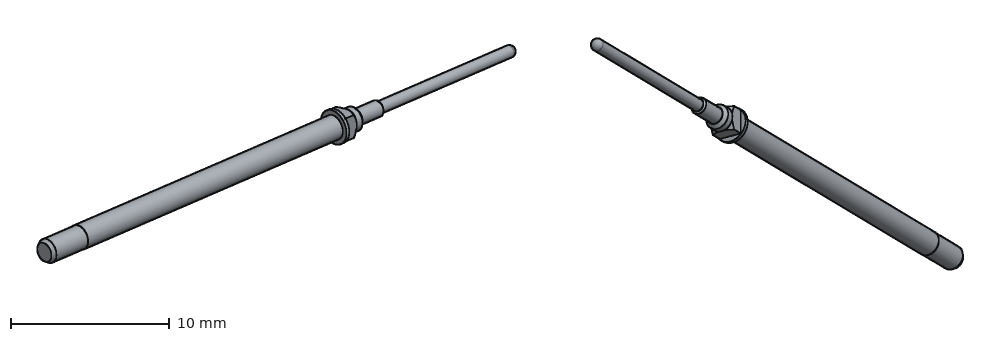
import cadquery as cq
import math

length = 41.4
tail_y = -length / 2
tip_y = length / 2

tail_diameter = 1.6
barrel_diameter = 1.65
flange_diameter = 2.3
square_side = 1.6
collar_diameter = barrel_diameter
neck_diameter = 1.1
plunger_diameter = 0.83

tail_length = 3.05
barrel_length = 22.45
flange_thickness = 0.25
square_length = 1.0
collar_length = 0.75
neck_length = 2.0

tail_chamfer_length = 0.3
tail_chamfer_depth = 0.15
collar_chamfer = 0.25
neck_chamfer = 0.12
square_chamfer_angle = 35.0

barrel_y = tail_y + tail_length
flange_y = barrel_y + barrel_length
square_y = flange_y + flange_thickness
collar_y = square_y + square_length
neck_y = collar_y + collar_length
plunger_y = neck_y + neck_length
dome_y = tip_y - plunger_diameter / 2


def rod(diameter, start_y, end_y):
    """Round bar centred on the Y axis."""
    plane = cq.Workplane("XZ", origin=(0, start_y, 0))
    return plane.circle(diameter / 2).extrude(start_y - end_y)


def square_section():
    """Square bar whose front corners are turned down to the collar by a cone."""
    cone_depth = (flange_diameter - collar_diameter) / 2
    cone_length = cone_depth * math.tan(math.radians(square_chamfer_angle))
    plane = cq.Workplane("XZ", origin=(0, square_y, 0))
    block = plane.rect(square_side, square_side).extrude(-square_length)
    turned = rod(flange_diameter, square_y, collar_y)
    turned = turned.faces(">Y").chamfer(cone_length, cone_depth)
    return block.intersect(turned)


tail = rod(tail_diameter, tail_y, barrel_y)
tail = tail.faces("<Y").chamfer(tail_chamfer_length, tail_chamfer_depth)
barrel = rod(barrel_diameter, barrel_y, flange_y)
flange = rod(flange_diameter, flange_y, square_y)
collar = rod(collar_diameter, collar_y, neck_y).faces(">Y").chamfer(collar_chamfer)
neck = rod(neck_diameter, neck_y, plunger_y).faces(">Y").chamfer(neck_chamfer)
plunger = rod(plunger_diameter, plunger_y, dome_y)
dome = cq.Workplane("XY", origin=(0, dome_y, 0)).sphere(plunger_diameter / 2)

result = tail
for section in (barrel, flange, square_section(), collar, neck, plunger, dome):
    result = result.union(section)